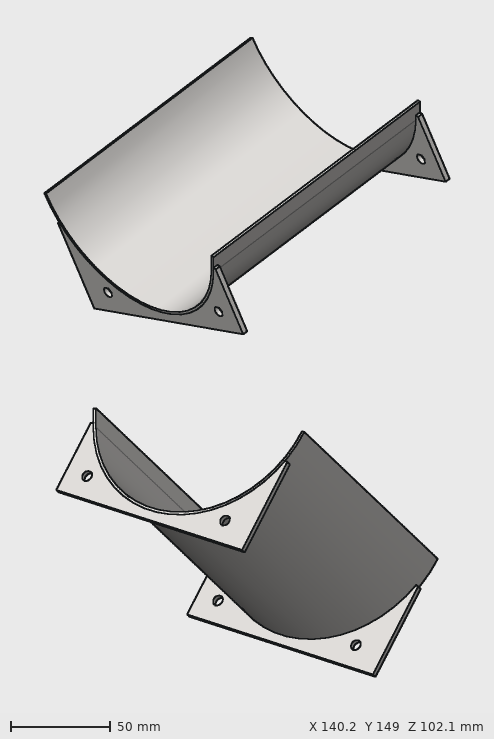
import cadquery as cq
import math

length = 149.0
outer_radius = 63.9
sheet_thickness = 1.5
inner_radius = outer_radius - sheet_thickness
flange_height = 11.0
sheet_end_angle = 210.0

bracket_thickness = 3.0
tilt = 30.0
base_offset = 68.8
base_left = 63.0
base_right = 58.3
right_tip_height = 3.1
left_tip_angle = 225.7

hole_diameter = 5.5
hole_spacing = 90.0
hole_offset = 56.9


def polar(radius, degrees):
    angle = math.radians(degrees)
    return (radius * math.cos(angle), radius * math.sin(angle))


def tilted(along, above):
    """Turn a position measured along and square to the base into X and Z."""
    angle = math.radians(tilt)
    x = along * math.cos(angle) - above * math.sin(angle)
    z = along * math.sin(angle) + above * math.cos(angle)
    return (x, z)


def make_sheet():
    middle_angle = (sheet_end_angle + 360) / 2
    return (
        cq.Workplane("XZ")
        .moveTo(outer_radius, flange_height)
        .lineTo(outer_radius, 0)
        .threePointArc(polar(outer_radius, middle_angle), polar(outer_radius, sheet_end_angle))
        .lineTo(*polar(inner_radius, sheet_end_angle))
        .threePointArc(polar(inner_radius, middle_angle), (inner_radius, 0))
        .lineTo(inner_radius, flange_height)
        .close()
        .extrude(length)
    )


def make_bracket(back_y):
    """Build one bracket extending from back_y toward -Y."""
    angle = math.radians(tilt)
    right_tip_x = (base_right - right_tip_height * math.sin(angle)) / math.cos(angle)
    left_tip_radius = -base_left / math.cos(math.radians(left_tip_angle - tilt))
    middle_angle = (left_tip_angle + 360) / 2
    holes = [tilted(side * hole_spacing / 2, -hole_offset) for side in (-1, 1)]

    plate = (
        cq.Workplane("XZ", origin=(0, back_y, 0))
        .moveTo(*tilted(-base_left, -base_offset))
        .lineTo(*tilted(base_right, -base_offset))
        .lineTo(right_tip_x, right_tip_height)
        .lineTo(outer_radius, right_tip_height)
        .lineTo(outer_radius, 0)
        .threePointArc(polar(outer_radius, middle_angle), polar(outer_radius, left_tip_angle))
        .lineTo(*polar(left_tip_radius, left_tip_angle))
        .close()
        .extrude(bracket_thickness)
    )
    hole_pins = (
        cq.Workplane("XZ", origin=(0, back_y, 0))
        .pushPoints(holes)
        .circle(hole_diameter / 2)
        .extrude(bracket_thickness)
    )
    return plate.cut(hole_pins)


sheet = make_sheet()

bracket_backs = [0, bracket_thickness - length]
brackets = [make_bracket(back_y) for back_y in bracket_backs]

result = cq.Compound.makeCompound([sheet.val(), *[bracket.val() for bracket in brackets]])